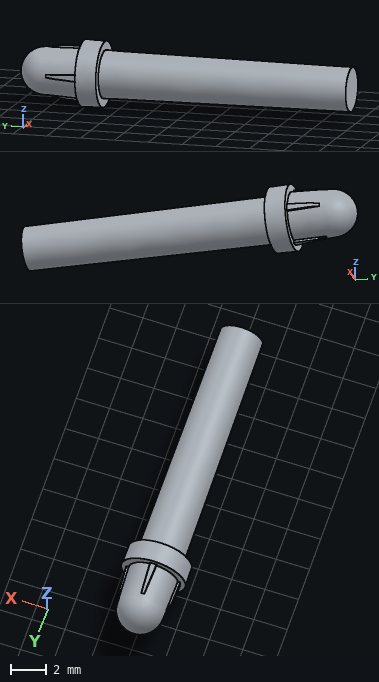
import cadquery as cq
import math

total_length = 19.54
head_length = 3.7
flange_thickness = 1.23
shank_length = total_length - head_length - flange_thickness

dome_radius = 1.39
head_base_radius = 1.49
flange_front_radius = 3.89 / 2
flange_rear_radius = 3.83 / 2
shank_base_radius = 1.39
shank_end_radius = 1.29

rib_count = 4
rib_length = 1.88
rib_crest_length = 1.37
rib_base_radius = 1.62
rib_crest_radius = 1.56
rib_tip_radius = 1.43
rib_root_radius = 0.98
rib_base_width = 0.4
rib_tip_width = 0.18


def make_body():
    """Revolve the shank, flange and domed head as one profile."""
    flange_front = flange_thickness
    head_tip = flange_front + head_length
    dome_center = head_tip - dome_radius
    arc_offset = dome_radius * math.sqrt(0.5)
    profile = (
        cq.Workplane("XY")
        .moveTo(0, -shank_length)
        .lineTo(shank_end_radius, -shank_length)
        .lineTo(shank_base_radius, 0)
        .lineTo(flange_rear_radius, 0)
        .lineTo(flange_front_radius, flange_front)
        .lineTo(head_base_radius, flange_front)
        .lineTo(dome_radius, dome_center)
        .threePointArc((arc_offset, dome_center + arc_offset), (0, head_tip))
        .close()
    )
    return profile.revolve(360, (0, 0, 0), (0, 1, 0))


def make_rib():
    """Build the +Z rib: a side profile trimmed to a plan that narrows forward."""
    start = flange_thickness
    tip = start + rib_length
    side = (
        cq.Workplane("YZ")
        .polyline([
            (start, rib_root_radius),
            (start, rib_base_radius),
            (start + rib_crest_length, rib_crest_radius),
            (tip, rib_tip_radius),
            (tip, rib_root_radius),
        ])
        .close()
        .extrude(rib_base_width, both=True)
    )
    plan = (
        cq.Workplane("XY")
        .polyline([
            (-rib_base_width / 2, start),
            (rib_base_width / 2, start),
            (rib_tip_width / 2, tip),
            (-rib_tip_width / 2, tip),
        ])
        .close()
        .extrude(rib_base_radius)
    )
    return side.intersect(plan)


result = make_body()
rib = make_rib()
for index in range(rib_count):
    angle = index * 360 / rib_count
    result = result.union(rib.rotate((0, 0, 0), (0, 1, 0), angle))